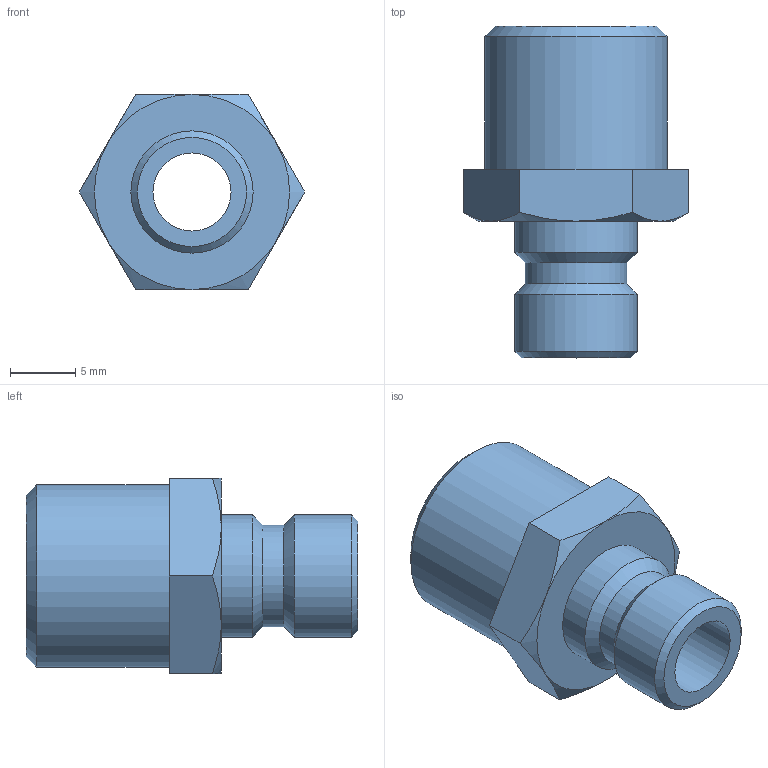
import cadquery as cq
import math

plug_length = 10.5
hex_length = 4.0
body_length = 11.0
hex_start = plug_length
hex_end = hex_start + hex_length
total_length = hex_end + body_length

bore_diameter = 6.0
plug_diameter = 9.4
groove_diameter = 7.8
body_diameter = 14.0
hex_across_flats = 15.0

tip_chamfer = 0.5
body_chamfer = 0.8
groove_depth = (plug_diameter - groove_diameter) / 2
groove_floor_width = 1.6
groove_shoulder_length = 2.4
groove_back = hex_start - groove_shoulder_length
groove_floor_back = groove_back - groove_depth
groove_floor_front = groove_floor_back - groove_floor_width
groove_front = groove_floor_front - groove_depth
hex_chamfer_angle = 30.0

hex_across_corners = hex_across_flats / math.cos(math.radians(30))


def revolve_about_y(profile):
    """Turn a closed (radius, y) profile once around the Y axis."""
    return cq.Workplane("XY").polyline(profile).close().revolve(360, (0, 0, 0), (0, 1, 0))


def make_turned_body():
    """Plug with groove, core through the hexagon, and chamfered rear body."""
    plug_radius = plug_diameter / 2
    groove_radius = groove_diameter / 2
    body_radius = body_diameter / 2
    return revolve_about_y([
        (0, 0),
        (plug_radius - tip_chamfer, 0),
        (plug_radius, tip_chamfer),
        (plug_radius, groove_front),
        (groove_radius, groove_floor_front),
        (groove_radius, groove_floor_back),
        (plug_radius, groove_back),
        (plug_radius, hex_start),
        (body_radius, hex_start),
        (body_radius, total_length - body_chamfer),
        (body_radius - body_chamfer, total_length),
        (0, total_length),
    ])


def make_hexagon():
    """Hexagon with corners on the X axis, its plug-side corners turned to a cone."""
    prism = (
        cq.Workplane("XZ", origin=(0, hex_end, 0))
        .polygon(6, hex_across_corners)
        .extrude(hex_length)
    )
    flat_radius = hex_across_flats / 2
    envelope_radius = hex_across_corners
    cone_rise = (envelope_radius - flat_radius) * math.tan(math.radians(hex_chamfer_angle))
    envelope = revolve_about_y([
        (0, hex_start),
        (flat_radius, hex_start),
        (envelope_radius, hex_start + cone_rise),
        (envelope_radius, hex_end + cone_rise),
        (0, hex_end + cone_rise),
    ])
    return prism.intersect(envelope)


def make_bore():
    """Straight passage through the whole fitting."""
    return (
        cq.Workplane("XZ", origin=(0, total_length, 0))
        .circle(bore_diameter / 2)
        .extrude(total_length)
    )


result = make_turned_body().union(make_hexagon()).cut(make_bore())